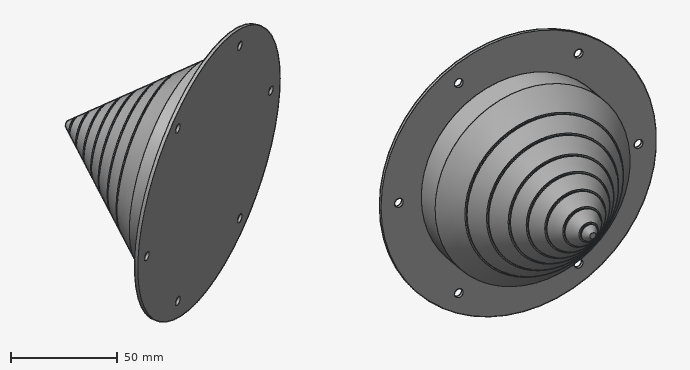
import cadquery as cq

total_length = 75.0
flange_diameter = 147.0
flange_thickness = 1.8
base_radius = 52.0
base_length = 15.5
tip_radius = 1.6

groove_floor_radii = [4.4, 9.7, 15.6, 21.6, 27.5, 34.5, 41.6]
groove_width = 0.9

hole_count = 6
hole_diameter = 4.5
hole_circle_radius = 64.0

cone_length = total_length - base_length
cone_slope = (base_radius - tip_radius) / cone_length
flange_front = total_length - flange_thickness


def cone_x(radius):
    """Distance from the tip at which the cone reaches the given radius."""
    return (radius - tip_radius) / cone_slope


def make_body():
    """Revolve the stepped cone, its cylindrical base and the flange."""
    profile = cq.Workplane("XY").lineTo(0, tip_radius)
    for floor_radius in groove_floor_radii:
        groove_start = cone_x(floor_radius)
        groove_end = groove_start + groove_width
        wall_top_radius = floor_radius + groove_width * cone_slope
        profile = (
            profile.lineTo(groove_start, floor_radius)
            .lineTo(groove_end, floor_radius)
            .lineTo(groove_end, wall_top_radius)
        )
    profile = (
        profile.lineTo(cone_length, base_radius)
        .lineTo(flange_front, base_radius)
        .lineTo(flange_front, flange_diameter / 2)
        .lineTo(total_length, flange_diameter / 2)
        .lineTo(total_length, 0)
        .close()
    )
    return profile.revolve(360, (0, 0, 0), (1, 0, 0))


def make_mounting_holes():
    """Cylinders through the flange, evenly spaced with one pair on the Y axis."""
    return (
        cq.Workplane("YZ", origin=(flange_front, 0, 0))
        .polarArray(hole_circle_radius, 0, 360, hole_count)
        .circle(hole_diameter / 2)
        .extrude(flange_thickness)
    )


result = make_body().cut(make_mounting_holes())